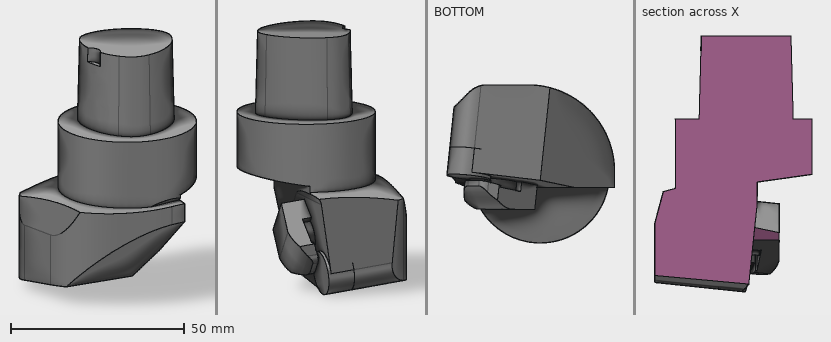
import cadquery as cq
import math

INSERT_TILT = math.tan(math.radians(6))
LARGE = 100

SHANK_HEIGHT = 24
SHANK_WIDTH = 28
SHANK_TAPER = 1 / 20
LOBE_HEIGHT = 0.9
SHANK_ARCS = 6
ARC_STEPS = 6
KEYWAY_RADIUS = 3.5
KEYWAY_DEPTH = 4.2
KEYWAY_Y = -14.4
FLANGE_RADIUS = 20
FLANGE_HEIGHT = 20
FRONT_Y = 4
UNDERCUT_Z = -18.25
UNDERCUT_ANGLE = 8
RELIEF_WIDTH = 1.1
RELIEF_HEIGHT = 1.3

BACK_RADIUS = 25
BACK_CENTER_X = -3.5
BACK_CENTER_Y = -0.7
SIDE_CORNER_RADIUS = 7
SIDE_CORNER_X = -15.45
CONE_ANGLE = 15
BACK_BEVEL_ANGLE = 15
BACK_BEVEL_Z = -30.2
EDGE_ANGLE = 7
END_BEVEL_OFFSET = 47.4
SEAT_DEPTH = 0.9
SEAT_TOP_Z = -19.8
SEAT_FILLET = 3

INSERT_RADIUS = 12.7 / 2
INSERT_THICKNESS = 7.94
INSERT_CENTER = (-20.65, 1.0, -43.65)

CLAMP_TIP = 2.2
CLAMP_TIP_HALF_WIDTH = 2.2
CLAMP_CHEEK = 3.5
CLAMP_CHEEK_HALF_WIDTH = 4.8
CLAMP_SHOULDER = 6
CLAMP_HALF_WIDTH = 6.7
CLAMP_END = 21.5
CLAMP_TIP_HEIGHT = 2.2
CLAMP_HEIGHT = 7.6
CLAMP_END_HEIGHT = 6.2
CLAMP_SLOPE_MID = (6, 5.8)
CLAMP_SLOPE_END = 11.5
CHANNEL_START = 6.7
CHANNEL_END = 15
CHEEK_GAP = 1.4
TIP_GAP = 0.6
PAD_START = 3.5
PAD_END = 6.2
PAD_WIDTH = 6
CHANNEL_HEIGHT = 1.9
POST_RADIUS = 5
POST_POSITION = 13.4
POST_DEPTH = 8


def insert_plane(x_along, down_along):
    """Plane of the insert's top face, its x axis mixing +X and downward in the given shares."""
    t = INSERT_TILT
    across = cq.Vector(1, t, 0)
    down = cq.Vector(t * t, -t, -(1 + t * t))
    x_axis = across.normalized() * x_along + down.normalized() * down_along
    return cq.Plane(origin=INSERT_CENTER, xDir=x_axis.toTuple(), normal=(-t, 1, -t))


SEAT_PLANE = insert_plane(1, 0)
SEAT_PROFILE_PLANE = cq.Plane(
    origin=INSERT_CENTER,
    xDir=(-SEAT_PLANE.yDir).toTuple(),
    normal=(-SEAT_PLANE.xDir).toTuple(),
)
CLAMP_PLANE = insert_plane(1, -1)


def on_insert(offset=0):
    return cq.Workplane(SEAT_PLANE).workplane(offset=offset)


def lobed_point(angle, half_width):
    """Point of the constant-width three-lobed curve whose normal has the given angle."""
    phase = 3 * (angle - math.pi / 2)
    support = half_width + LOBE_HEIGHT * math.cos(phase)
    slope = -3 * LOBE_HEIGHT * math.sin(phase)
    x = support * math.cos(angle) - slope * math.sin(angle)
    y = support * math.sin(angle) + slope * math.cos(angle)
    return x, y


def lobed_wire(height):
    """The shank outline at one height, as spline arcs of equal turn."""
    half_width = (SHANK_WIDTH - SHANK_TAPER * height) / 2
    arc_turn = 2 * math.pi / SHANK_ARCS
    edges = []
    for arc in range(SHANK_ARCS):
        angles = [arc_turn * (arc + step / ARC_STEPS) for step in range(ARC_STEPS + 1)]
        points = [cq.Vector(*lobed_point(angle, half_width), height) for angle in angles]
        edges.append(cq.Edge.makeSpline(points))
    return cq.Wire.assembleEdges(edges)


def make_shank():
    shank = cq.Workplane(cq.Solid.makeLoft([lobed_wire(0), lobed_wire(SHANK_HEIGHT)], True))
    keyway = (
        cq.Workplane(origin=(0, KEYWAY_Y, SHANK_HEIGHT - KEYWAY_DEPTH))
        .circle(KEYWAY_RADIUS)
        .extrude(KEYWAY_DEPTH)
    )
    return shank.cut(keyway)


def make_flange():
    flange = cq.Workplane().circle(FLANGE_RADIUS).extrude(-FLANGE_HEIGHT)
    undercut_rise = LARGE * math.tan(math.radians(UNDERCUT_ANGLE))
    undercut = (
        cq.Workplane("YZ")
        .moveTo(FRONT_Y, UNDERCUT_Z)
        .lineTo(FRONT_Y + LARGE, UNDERCUT_Z + undercut_rise)
        .lineTo(FRONT_Y + LARGE, -LARGE)
        .lineTo(FRONT_Y, -LARGE)
        .close()
        .extrude(LARGE, both=True)
    )
    relief = (
        cq.Workplane("XZ")
        .moveTo(FLANGE_RADIUS - RELIEF_WIDTH, -FLANGE_HEIGHT)
        .lineTo(FLANGE_RADIUS, -FLANGE_HEIGHT + RELIEF_HEIGHT)
        .lineTo(FLANGE_RADIUS, -FLANGE_HEIGHT)
        .close()
        .extrude(LARGE, both=True)
    )
    return flange.cut(undercut).cut(relief)


def edge_prism():
    """Prism along the insert axis: round nose, leaning left side and leaning bottom."""
    c = math.cos(math.radians(EDGE_ANGLE))
    s = math.sin(math.radians(EDGE_ANGLE))
    r = INSERT_RADIUS
    side = (-r * c, -r * s)
    bottom = (r * s, r * c)
    diagonal = r * math.sqrt(0.5)
    return (
        on_insert(-LARGE / 2)
        .moveTo(*side)
        .threePointArc((-diagonal, diagonal), bottom)
        .lineTo(bottom[0] + LARGE * c, bottom[1] - LARGE * s)
        .lineTo(LARGE, -LARGE)
        .lineTo(side[0] + LARGE * s, side[1] - LARGE * c)
        .close()
        .extrude(LARGE)
    )


def plan_prism():
    """Upright prism of the head's plan outline."""
    flat_y = BACK_CENTER_Y - BACK_RADIUS
    right_x = BACK_CENTER_X + BACK_RADIUS
    back_mid = BACK_RADIUS * math.sqrt(0.5)
    turn = math.radians(45)
    corner_y = flat_y + SIDE_CORNER_RADIUS
    corner_mid = (
        SIDE_CORNER_X - SIDE_CORNER_RADIUS * math.sin(turn / 2),
        corner_y - SIDE_CORNER_RADIUS * math.cos(turn / 2),
    )
    corner_end = (
        SIDE_CORNER_X - SIDE_CORNER_RADIUS * math.sin(turn),
        corner_y - SIDE_CORNER_RADIUS * math.cos(turn),
    )
    rise = FRONT_Y - corner_end[1]
    return (
        cq.Workplane(origin=(0, 0, -FLANGE_HEIGHT))
        .moveTo(right_x, FRONT_Y)
        .lineTo(right_x, BACK_CENTER_Y)
        .threePointArc((BACK_CENTER_X + back_mid, BACK_CENTER_Y - back_mid), (BACK_CENTER_X, flat_y))
        .lineTo(SIDE_CORNER_X, flat_y)
        .threePointArc(corner_mid, corner_end)
        .lineTo(corner_end[0] - rise, FRONT_Y)
        .close()
        .extrude(-LARGE)
    )


def shoulder_cone():
    """Everything below the conical shoulder that starts at the flange edge."""
    drop = LARGE * math.tan(math.radians(CONE_ANGLE))
    return (
        cq.Workplane("XZ")
        .moveTo(0, -FLANGE_HEIGHT)
        .lineTo(FLANGE_RADIUS, -FLANGE_HEIGHT)
        .lineTo(FLANGE_RADIUS + LARGE, -FLANGE_HEIGHT - drop)
        .lineTo(FLANGE_RADIUS + LARGE, -2 * LARGE)
        .lineTo(0, -2 * LARGE)
        .close()
        .revolve(360, (0, 0, 0), (0, 1, 0))
    )


def back_bevel():
    flat_y = BACK_CENTER_Y - BACK_RADIUS
    run = LARGE * math.tan(math.radians(BACK_BEVEL_ANGLE))
    return (
        cq.Workplane("YZ")
        .moveTo(flat_y, BACK_BEVEL_Z)
        .lineTo(flat_y + run, BACK_BEVEL_Z + LARGE)
        .lineTo(flat_y, BACK_BEVEL_Z + LARGE)
        .close()
        .extrude(LARGE, both=True)
    )


def end_bevel():
    return (
        cq.Workplane("XZ")
        .moveTo(-LARGE, -LARGE - END_BEVEL_OFFSET)
        .lineTo(LARGE, LARGE - END_BEVEL_OFFSET)
        .lineTo(LARGE, -LARGE - END_BEVEL_OFFSET)
        .close()
        .extrude(LARGE, both=True)
    )


def seat_pocket():
    """Open space in front of the head's face, rounded where it runs out under the flange."""
    top = SEAT_TOP_Z - INSERT_CENTER[2]
    return (
        cq.Workplane(SEAT_PROFILE_PLANE)
        .moveTo(-LARGE, -SEAT_DEPTH)
        .lineTo(top - SEAT_FILLET, -SEAT_DEPTH)
        .radiusArc((top, SEAT_FILLET - SEAT_DEPTH), -SEAT_FILLET)
        .lineTo(top, LARGE)
        .lineTo(-LARGE, LARGE)
        .close()
        .extrude(LARGE, both=True)
    )


def post_cylinder():
    return (
        cq.Workplane(CLAMP_PLANE)
        .workplane(offset=-POST_DEPTH)
        .center(POST_POSITION, 0)
        .circle(POST_RADIUS)
        .extrude(POST_DEPTH + CHANNEL_HEIGHT)
    )


def make_insert():
    return on_insert(-INSERT_THICKNESS).circle(INSERT_RADIUS).extrude(INSERT_THICKNESS)


def make_holder():
    head = edge_prism().intersect(plan_prism()).intersect(shoulder_cone())
    head = head.cut(back_bevel()).cut(end_bevel()).cut(seat_pocket())
    holder = head.union(make_flange()).union(make_shank())
    return holder.cut(make_insert()).cut(post_cylinder())


def make_clamp():
    """Finger clamp: its heel rests on the head, its tip on the insert, its post in the head."""
    side = (
        cq.Workplane(CLAMP_PLANE)
        .transformed(rotate=(90, 0, 0))
        .moveTo(CLAMP_TIP, TIP_GAP)
        .lineTo(CLAMP_TIP, CLAMP_TIP_HEIGHT)
        .threePointArc(CLAMP_SLOPE_MID, (CLAMP_SLOPE_END, CLAMP_HEIGHT))
        .lineTo(CLAMP_END, CLAMP_END_HEIGHT)
        .lineTo(CLAMP_END, -SEAT_DEPTH)
        .lineTo(CHANNEL_END, -SEAT_DEPTH)
        .lineTo(CHANNEL_END, CHANNEL_HEIGHT)
        .lineTo(CHANNEL_START, CHANNEL_HEIGHT)
        .lineTo(CHANNEL_START, CHEEK_GAP)
        .close()
        .extrude(CLAMP_HALF_WIDTH, both=True)
    )
    plan = (
        cq.Workplane(CLAMP_PLANE)
        .workplane(offset=-SEAT_DEPTH)
        .moveTo(CLAMP_TIP, 0)
        .lineTo(CLAMP_TIP, CLAMP_TIP_HALF_WIDTH)
        .tangentArcPoint((CLAMP_CHEEK, CLAMP_CHEEK_HALF_WIDTH), relative=False)
        .lineTo(CLAMP_SHOULDER, CLAMP_HALF_WIDTH)
        .lineTo(CLAMP_END, CLAMP_HALF_WIDTH)
        .lineTo(CLAMP_END, 0)
        .mirrorX()
        .extrude(SEAT_DEPTH + CLAMP_HEIGHT)
    )
    pad = (
        cq.Workplane(CLAMP_PLANE)
        .center((PAD_START + PAD_END) / 2, 0)
        .rect(PAD_END - PAD_START, PAD_WIDTH)
        .extrude(CHANNEL_HEIGHT)
    )
    return side.intersect(plan).union(pad).union(post_cylinder())


holder = make_holder()
insert = make_insert()
clamp = make_clamp()

result = cq.Compound.makeCompound([holder.solids().val(), insert.solids().val(), clamp.solids().val()])